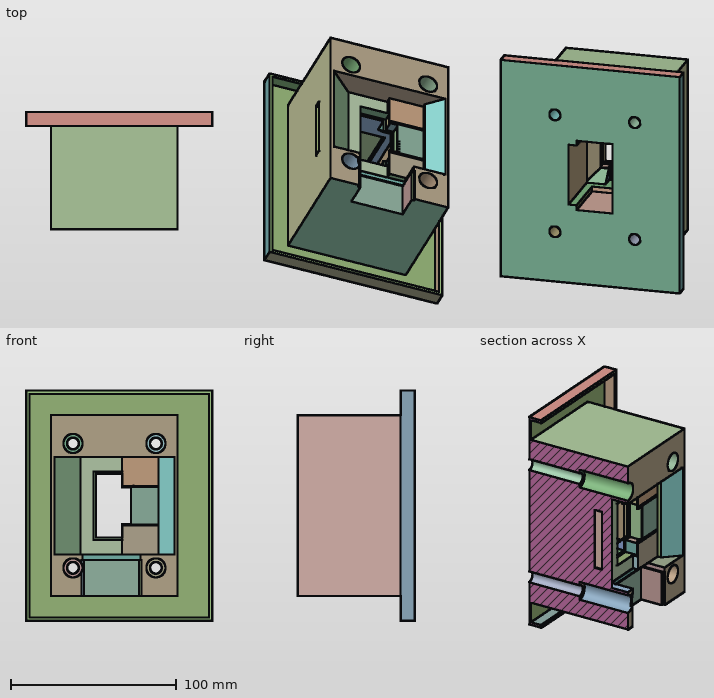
import cadquery as cq


plate_width = 112.4
plate_height = 139.1
plate_thickness = 8.6
rim_width = 2.1
web_thickness = 1.4
total_depth = 71.0

body_left = -41.3
body_width = 76.5
body_height = 109.3

pocket_left = -39.2
pocket_right = 33.2
pocket_half_height = 29.5
pocket_depth = 15.7
right_slope = 9.5
shelf_left = 1.8
shelf_depth = 12.0
shelf_right = pocket_right - right_slope

window_left = -13.9
window_half_height = 19.2
tab_right = 7.0
tab_half_height = 11.7
lip_half_height = 11.0
seat_margin = 1.5
seat_tab_margin_z = 1.1
seat_start = 12.8
seat_end = 22.0
flare_start = 23.1
cavity_right = 13.5
rear_recess_start = 36.5
rear_recess_right = 8.5
rear_recess_half_height = 22.3

groove_inner = 11.4
groove_outer = 12.0
groove_depth = 0.5

notch_left = -21.3
notch_right = 12.0
notch_top = -32.7
notch_depth = 16.3
mouth_margin = 1.5
mouth_depth = 1.5
neck_margin = 1.0
neck_depth = 15.6

slot_start = 18.9
slot_end = 23.9
slot_half_height = 19.2
slot_reach = 13.9

hole_diameter = 7.0
counterbore_diameter = 11.5
counterbore_depth = 34.8
hole_center_x = -2.9
hole_spacing_x = 50.1
hole_spacing_z = 75.1


def block(x_range, y_range, z_range):
    """Axis-aligned box between the given limits."""
    limits = (x_range, y_range, z_range)
    sizes = [high - low for low, high in limits]
    corner = [low for low, high in limits]
    return cq.Workplane("XY").box(*sizes, centered=False).translate(tuple(corner))


def mirrored(half_size):
    """Range that is symmetric about zero."""
    return (-half_size, half_size)


def make_plate():
    plate_front = total_depth - plate_thickness
    plate = block(
        mirrored(plate_width / 2), (plate_front, total_depth), mirrored(plate_height / 2)
    )
    recess = block(
        mirrored(plate_width / 2 - rim_width),
        (plate_front, total_depth - web_thickness),
        mirrored(plate_height / 2 - rim_width),
    )
    return plate.cut(recess)


def make_body():
    return block(
        (body_left, body_left + body_width), (0, total_depth), mirrored(body_height / 2)
    )


def make_pocket():
    outline = [
        (pocket_left, 0),
        (pocket_left + pocket_depth, pocket_depth),
        (shelf_left, pocket_depth),
        (shelf_left, shelf_depth),
        (shelf_right, shelf_depth),
        (shelf_right, right_slope),
        (pocket_right, 0),
    ]
    return cq.Workplane("XY").polyline(outline).close().extrude(pocket_half_height, both=True)


def make_window():
    window = block(
        (window_left, shelf_left), (shelf_depth, total_depth), mirrored(window_half_height)
    )
    tab = block((window_left, tab_right), (seat_start, total_depth), mirrored(tab_half_height))
    tab_mouth = block((window_left, tab_right), (shelf_depth, seat_start), mirrored(lip_half_height))

    seat = block(
        (window_left - seat_margin, shelf_left + seat_margin),
        (seat_start, seat_end),
        mirrored(window_half_height + seat_margin),
    )
    seat_tab = block(
        (window_left, tab_right + seat_margin),
        (seat_start, seat_end),
        mirrored(tab_half_height + seat_tab_margin_z),
    )
    return window.union(tab).union(tab_mouth).union(seat).union(seat_tab)


def make_rear_cavity():
    plan = [
        (window_left, flare_start),
        (tab_right, flare_start),
        (cavity_right, flare_start + cavity_right - tab_right),
        (cavity_right, total_depth),
        (window_left, total_depth),
    ]
    flare_end = flare_start + window_half_height - tab_half_height
    side = [
        (flare_start, -tab_half_height),
        (flare_end, -window_half_height),
        (total_depth, -window_half_height),
        (total_depth, window_half_height),
        (flare_end, window_half_height),
        (flare_start, tab_half_height),
    ]
    sideways = cq.Workplane("XY").polyline(plan).close().extrude(window_half_height, both=True)
    vertical = cq.Workplane("YZ").polyline(side).close().extrude(body_width, both=True)
    recess = block(
        (window_left, rear_recess_right),
        (rear_recess_start, total_depth),
        mirrored(rear_recess_half_height),
    )
    return sideways.intersect(vertical).union(recess)


def make_shelf_grooves():
    x_range = (shelf_left, shelf_right)
    y_range = (shelf_depth, shelf_depth + groove_depth)
    upper = block(x_range, y_range, (groove_inner, groove_outer))
    return upper.union(upper.mirror("XY"))


def make_notch():
    bottom = -body_height / 2
    channel = block((notch_left, notch_right), (0, notch_depth), (bottom, notch_top))
    mouth = block(
        (notch_left - mouth_margin, notch_right + mouth_margin),
        (0, mouth_depth),
        (bottom, notch_top),
    )
    neck = block(
        (notch_left - neck_margin, notch_right + neck_margin),
        (0, neck_depth),
        (notch_top, -pocket_half_height),
    )
    return channel.union(mouth).union(neck)


def make_side_slot():
    return block(
        (body_left, body_left + slot_reach), (slot_start, slot_end), mirrored(slot_half_height)
    )


def make_screw_holes():
    def cylinders(diameter, depth):
        return (
            cq.Workplane("XZ")
            .center(hole_center_x, 0)
            .rarray(hole_spacing_x, hole_spacing_z, 2, 2)
            .circle(diameter / 2)
            .extrude(-depth)
        )

    through = cylinders(hole_diameter, total_depth)
    return through.union(cylinders(counterbore_diameter, counterbore_depth))


result = (
    make_plate()
    .union(make_body())
    .cut(make_pocket())
    .cut(make_window())
    .cut(make_rear_cavity())
    .cut(make_shelf_grooves())
    .cut(make_notch())
    .cut(make_side_slot())
    .cut(make_screw_holes())
)